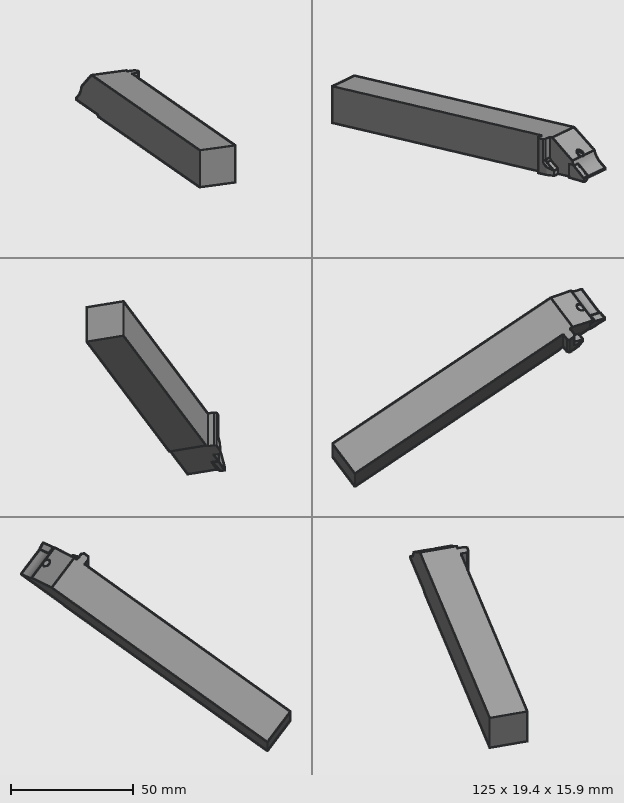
import cadquery as cq
import math

total_length = 125.0
total_width = 19.4
shank_height = 15.9
shank_width = 15.9

nose_x = 0.5
nose_height = 1.4
slope_angle = 38.0
slope_top_x = 16.0
slope_foot_x = 5.9
hollow_mid = (4.8, 5.4)
hollow_end_x = 3.0
relief_height = 0.8
relief_end_x = 21.8
ramp_length = 1.5
side_taper = 0.4

insert_width = 3.1
insert_foot_width = 1.9
insert_tip_height = 1.5
insert_rake_end = (5.4, 6.2)
insert_length = 7.5
insert_back_rise = 0.4
insert_end_lead = 0.4

lug_front_x = 13.0
lug_front_height = 3.0
lug_face_x = 17.2
lug_rear_x = 21.0
lug_facet_length = 0.6
lug_facet_rise = 1.1
lug_bevel_depth = 0.9
lug_front_bevel = 3.0
lug_slope_bevel = 1.2
lug_edge_bevel = 0.8

hole_diameter = 3.2
hole_depth = 0.6
hole_tilt = 20.0
hole_x = 7.1
hole_y = 8.4

slope = math.tan(math.radians(slope_angle))


def slope_height(x):
    """Height of the long sloped face at x."""
    return shank_height - (slope_top_x - x) * slope


def extrude_profile(profile, y_start, y_end):
    """Extrude a closed XZ profile from y_start to y_end."""
    return profile.close().extrude(y_start - y_end).translate((0, y_start, 0))


def make_body():
    hollow_end = (hollow_end_x, nose_height + (hollow_end_x - nose_x) * slope)
    profile = (
        cq.Workplane("XZ")
        .moveTo(nose_x, relief_height)
        .lineTo(nose_x, nose_height)
        .lineTo(*hollow_end)
        .threePointArc(hollow_mid, (slope_foot_x, slope_height(slope_foot_x)))
        .lineTo(slope_top_x, shank_height)
        .lineTo(total_length, shank_height)
        .lineTo(total_length, 0)
        .lineTo(relief_end_x + ramp_length, 0)
        .lineTo(relief_end_x, relief_height)
    )
    return extrude_profile(profile, 0, shank_width)


def make_taper_cut():
    """Thin wedge that narrows the far side of the head towards the lug."""
    return (
        cq.Workplane("XY")
        .polyline([
            (nose_x, shank_width),
            (lug_face_x, shank_width),
            (lug_face_x, shank_width - side_taper),
        ])
        .close()
        .extrude(shank_height)
    )


def make_insert():
    """Insert with a sloped rake face, a rising underside and a slanted front edge."""
    profile = (
        cq.Workplane("XZ")
        .moveTo(0, 0)
        .lineTo(0, insert_tip_height)
        .lineTo(*insert_rake_end)
        .lineTo(insert_length, insert_rake_end[1])
        .lineTo(insert_length, insert_back_rise)
    )
    blade = extrude_profile(profile, shank_width - insert_width, shank_width)
    plan = (
        cq.Workplane("XY")
        .polyline([
            (0, shank_width),
            (insert_length, shank_width),
            (insert_length, shank_width - insert_width),
            (insert_end_lead, shank_width - insert_width),
        ])
        .close()
        .extrude(shank_height)
    )
    section = (
        cq.Workplane("YZ")
        .polyline([
            (shank_width, 0),
            (shank_width, shank_height),
            (shank_width - insert_width, shank_height),
            (shank_width - insert_width, relief_height),
            (shank_width - insert_foot_width, 0),
        ])
        .close()
        .extrude(insert_length)
    )
    return blade.intersect(plan).intersect(section)


def draw_lug_outline(plane, front_inset, slope_drop, edge_inset):
    """Draw the lug outline in XZ, drawn in by the given amounts at its front, slope and upright edges."""
    front_x = lug_front_x + front_inset
    face_x = lug_face_x + edge_inset
    rear_x = lug_rear_x - edge_inset
    front_z = lug_front_height - slope_drop + front_inset * slope
    facet_x = face_x - lug_facet_length
    facet_z = front_z + (facet_x - front_x) * slope
    return (
        plane.moveTo(front_x, relief_height)
        .lineTo(front_x, front_z)
        .lineTo(facet_x, facet_z)
        .lineTo(face_x, facet_z + lug_facet_rise)
        .lineTo(face_x, shank_height)
        .lineTo(rear_x, shank_height)
        .lineTo(rear_x, relief_height)
        .close()
    )


def make_lug():
    """Stop lug: a straight block with a beveled far side."""
    bevel_y = total_width - lug_bevel_depth
    root_y = shank_width - side_taper
    root_plane = cq.Workplane("XZ", origin=(0, root_y, 0))
    block = draw_lug_outline(root_plane, 0, 0, 0).extrude(root_y - bevel_y)
    bevel_plane = cq.Workplane("XZ", origin=(0, bevel_y, 0))
    bevel_base = draw_lug_outline(bevel_plane, 0, 0, 0)
    bevel_top = bevel_base.workplane(offset=-lug_bevel_depth)
    bevel = draw_lug_outline(bevel_top, lug_front_bevel, lug_slope_bevel, lug_edge_bevel).loft(ruled=True)
    return block.union(bevel)


def make_hole():
    """Shallow flat-bottomed hole in the sloped face, steeper than square to it."""
    angle = math.radians(hole_tilt)
    inward = cq.Vector(math.sin(angle), 0, -math.cos(angle))
    mouth = cq.Vector(hole_x, hole_y, slope_height(hole_x))
    start = mouth - inward * hole_diameter
    return cq.Workplane(cq.Solid.makeCylinder(hole_diameter / 2, hole_diameter + hole_depth, start, inward))


result = (
    make_body()
    .cut(make_taper_cut())
    .union(make_insert())
    .union(make_lug())
    .cut(make_hole())
)